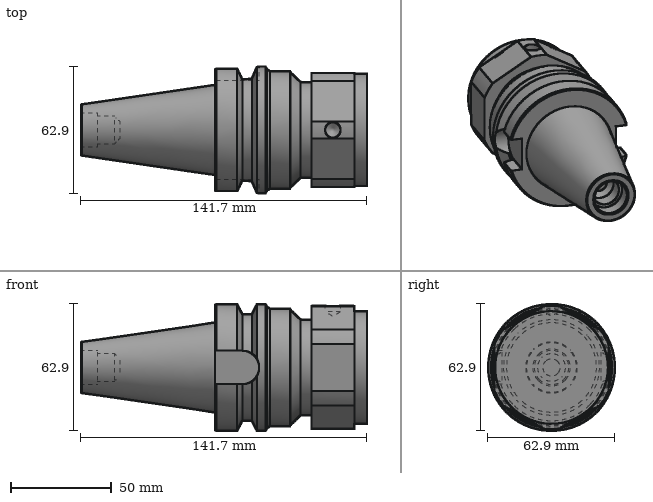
import cadquery as cq
import math


taper_small_radius = 12.8
taper_large_diameter = 44.5
taper_length = 65.3
taper_tip_chamfer = 0.4

flange_diameter = 62.9
flange_start = 66.3
flange_chamfer_length = 0.9
flange_chamfer_depth = 0.4
groove_start = 77.4
groove_end = 87.2
groove_floor_radius = 26.5
groove_wall_length = 2.5

flange_end = 91.4
flange_edge_length = 0.9
flange_edge_depth = 1.4
collar_diameter = 58.4
collar_start = 93.7
collar_end = 103.5
collar_edge_length = 0.3
collar_edge_depth = 0.5
neck_start = 108.8
neck_diameter = 47.5

slot_width = 16.6
slot_end = 88.3
slot_floor_distance = 24.5

bore_diameter = 17.0
bore_mouth_chamfer_length = 0.4
bore_mouth_chamfer_depth = 0.7
bore_depth = 8.1
pilot_diameter = 13.7
pilot_length = 8.5
bore_floor_diameter = 8.5
bore_cone_angle = 45

nut_start = 114.1
nut_hex_end = 135.5
nut_end = 141.7
nut_across_flats = 56.7
nut_corner_diameter = 61.2
nut_ring_diameter = 55.8

spanner_hole_diameter = 7.7
spanner_hole_depth = 3.0
drill_point_angle = 118


def revolve_about_x(points):
    """Revolve a closed outline of (axial position, radius) points about X."""
    return cq.Workplane("XY").polyline(points).close().revolve(360, (0, 0, 0), (1, 0, 0))


def holder_blank():
    taper_large_radius = taper_large_diameter / 2
    flange_radius = flange_diameter / 2
    collar_radius = collar_diameter / 2
    neck_radius = neck_diameter / 2
    return revolve_about_x([
        (0, 0),
        (0, taper_small_radius - taper_tip_chamfer),
        (taper_tip_chamfer, taper_small_radius),
        (taper_length, taper_large_radius),
        (flange_start, taper_large_radius),
        (flange_start, flange_radius - flange_chamfer_depth),
        (flange_start + flange_chamfer_length, flange_radius),
        (groove_start, flange_radius),
        (groove_start + groove_wall_length, groove_floor_radius),
        (groove_end - groove_wall_length, groove_floor_radius),
        (groove_end, flange_radius),
        (flange_end, flange_radius),
        (flange_end + flange_edge_length, flange_radius - flange_edge_depth),
        (collar_start, collar_radius),
        (collar_end, collar_radius),
        (collar_end + collar_edge_length, collar_radius - collar_edge_depth),
        (neck_start, neck_radius),
        (nut_start, neck_radius),
        (nut_start, 0),
    ])


def bore_cutter():
    bore_radius = bore_diameter / 2
    pilot_radius = pilot_diameter / 2
    floor_radius = bore_floor_diameter / 2
    pilot_end = bore_depth + pilot_length
    bore_bottom = pilot_end + (pilot_radius - floor_radius) / math.tan(math.radians(bore_cone_angle))
    return revolve_about_x([
        (0, 0),
        (0, bore_radius + bore_mouth_chamfer_depth),
        (bore_mouth_chamfer_length, bore_radius),
        (bore_depth, bore_radius),
        (bore_depth, pilot_radius),
        (pilot_end, pilot_radius),
        (bore_bottom, floor_radius),
        (bore_bottom, 0),
    ])


def drive_slot_cutter(side):
    """Round-ended slot, open toward the taper; side is -1 or +1 along Y."""
    half_width = slot_width / 2
    arc_start = slot_end - half_width
    slot_depth = flange_diameter / 2 - slot_floor_distance
    return (
        cq.Workplane("XZ", origin=(0, side * slot_floor_distance, 0))
        .moveTo(flange_start, -half_width)
        .lineTo(arc_start, -half_width)
        .threePointArc((slot_end, 0), (arc_start, half_width))
        .lineTo(flange_start, half_width)
        .close()
        .extrude(-side * slot_depth)
    )


def make_holder():
    body = holder_blank().cut(bore_cutter())
    for side in (-1, 1):
        body = body.cut(drive_slot_cutter(side))
    return body


def spanner_hole_cutter():
    """Vertical drilled hole with a conical bottom, midway along the hexagon."""
    radius = spanner_hole_diameter / 2
    point_length = radius / math.tan(math.radians(drill_point_angle / 2))
    top = nut_corner_diameter / 2
    bottom = top - spanner_hole_depth
    return (
        cq.Workplane("XZ", origin=((nut_start + nut_hex_end) / 2, 0, 0))
        .polyline([(0, top), (radius, top), (radius, bottom), (0, bottom - point_length)])
        .close()
        .revolve(360, (0, 0, 0), (0, 1, 0))
    )


def make_nut():
    hex_length = nut_hex_end - nut_start
    across_corners = nut_across_flats / math.cos(math.radians(30))
    start_plane = cq.Workplane("YZ", origin=(nut_start, 0, 0))
    hexagon = start_plane.transformed(rotate=(0, 0, 90)).polygon(6, across_corners).extrude(hex_length)
    corner_rounding = start_plane.circle(nut_corner_diameter / 2).extrude(hex_length)
    ring = start_plane.circle(nut_ring_diameter / 2).extrude(nut_end - nut_start)
    return hexagon.intersect(corner_rounding).union(ring).cut(spanner_hole_cutter())


holder = make_holder()
nut = make_nut()

result = cq.Compound.makeCompound([holder.val(), nut.val()])